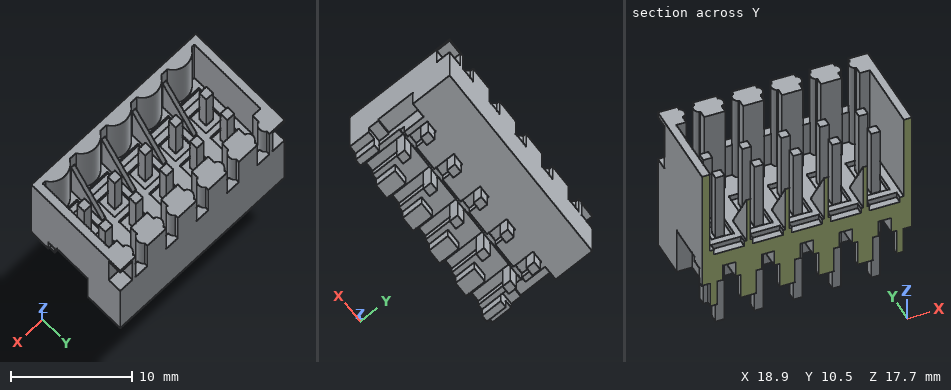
import cadquery as cq


POLES = 5
PITCH = 3.5
BODY_X = 18.9
BODY_Y = 10.5
BODY_Z = 14.2
FRONT = -BODY_Y / 2
REAR = BODY_Y / 2
POLE_XS = [(i - (POLES - 1) / 2) * PITCH for i in range(POLES)]

PIN_SIZE = 0.81
PIN_TIP_Z = 11.94
PIN_TAIL = 3.5
FRONT_ROW_Y = FRONT + 3.75
ROW_PITCH = 2.5
ROW_YS = [FRONT_ROW_Y, FRONT_ROW_Y + ROW_PITCH]

SIDE_WALL = 0.75
FRONT_WALL = 0.6
REAR_WALL = 2.1
FLOOR_Z = 6.0
POCKET_DEPTH = 0.5
PIN_POCKET = 2.0
SLIT_X = 2.7
SLIT_Y = 0.65
SLIT_SETBACK = 1.48

BULGE_HALF_WIDTH = 1.39
BULGE_HEIGHT = 0.8
RIB_THICKNESS = 0.4
RIB_LENGTH = 3.65
RIB_HEIGHT = 5.75

KEY_MOUTH_HALF = 0.68
KEY_NECK_HALF = 0.39
KEY_INNER_HALF = 0.8
KEY_ARC_START = 0.32
KEY_NECK_DEPTH = 0.85
KEY_ARC_END = 1.35
LEDGE_Z = 9.2
NOTCH_TOP_Z = 13.7

FOOT_DEPTH = 2.0
FOOT_HEIGHT = 2.45
BLOCK_SETBACK = 4.6
LIP_HEIGHT = 2.05
FOOT_GAP = 2.1
RELIEF_WIDTH = 1.12
FRONT_RELIEF_Z = 3.98
REAR_RELIEF_Z = 1.5
END_RECESS_STEP = 3.0
END_RECESS_REAR = 6.65
END_RECESS_Z = 4.45
END_RECESS_X = BODY_X / 2 - POLE_XS[-1] - FOOT_GAP / 2


def box(x_range, y_range, z_range):
    """Axis-aligned box from (low, high) pairs."""
    sizes = [high - low for low, high in (x_range, y_range, z_range)]
    corner = (x_range[0], y_range[0], z_range[0])
    return cq.Workplane("XY").box(*sizes, centered=False).translate(corner)


def around(centre, width):
    return (centre - width / 2, centre + width / 2)


def cut_both_ends(body, depth, y_range, z_range):
    """Cut the same box inward from the -X and +X ends."""
    half = BODY_X / 2
    body = body.cut(box((-half, -half + depth), y_range, z_range))
    return body.cut(box((half - depth, half), y_range, z_range))


def hollow_housing():
    body = box(around(0, BODY_X), (FRONT, REAR), (0, BODY_Z))
    cavity_x = around(0, BODY_X - 2 * SIDE_WALL)
    return body.cut(box(cavity_x, (FRONT + FRONT_WALL, REAR - REAR_WALL), (FLOOR_Z, BODY_Z)))


def front_wall_bulge(x):
    """Rounded bulge on the inside of the front wall, as tall as the cavity."""
    y = FRONT + FRONT_WALL
    return (
        cq.Workplane("XY", origin=(x, 0, FLOOR_Z))
        .moveTo(-BULGE_HALF_WIDTH, y)
        .threePointArc((0, y + BULGE_HEIGHT), (BULGE_HALF_WIDTH, y))
        .lineTo(BULGE_HALF_WIDTH, FRONT + FRONT_WALL / 2)
        .lineTo(-BULGE_HALF_WIDTH, FRONT + FRONT_WALL / 2)
        .close()
        .extrude(BODY_Z - FLOOR_Z)
    )


def sloping_rib(x):
    """Triangular rib between two poles, from the front wall down to the floor."""
    y = FRONT + FRONT_WALL
    profile = [(y, FLOOR_Z), (y + RIB_LENGTH, FLOOR_Z), (y, FLOOR_Z + RIB_HEIGHT)]
    start_x = x - RIB_THICKNESS / 2
    return cq.Workplane("YZ", origin=(start_x, 0, 0)).polyline(profile).close().extrude(RIB_THICKNESS)


def key_slot(x):
    """Slot with a waisted neck, above the floor; a ledge closes its outer part lower down."""
    inner_y = REAR - REAR_WALL
    arc_start_y = REAR - KEY_ARC_START
    neck_y = REAR - KEY_NECK_DEPTH
    arc_end_y = REAR - KEY_ARC_END
    profile = (
        cq.Workplane("XY", origin=(x, 0, FLOOR_Z))
        .moveTo(-KEY_MOUTH_HALF, REAR)
        .lineTo(-KEY_MOUTH_HALF, arc_start_y)
        .threePointArc((-KEY_NECK_HALF, neck_y), (-KEY_MOUTH_HALF, arc_end_y))
        .lineTo(-KEY_INNER_HALF, arc_end_y)
        .lineTo(-KEY_INNER_HALF, inner_y)
        .lineTo(KEY_INNER_HALF, inner_y)
        .lineTo(KEY_INNER_HALF, arc_end_y)
        .lineTo(KEY_MOUTH_HALF, arc_end_y)
        .threePointArc((KEY_NECK_HALF, neck_y), (KEY_MOUTH_HALF, arc_start_y))
        .lineTo(KEY_MOUTH_HALF, REAR)
        .close()
    )
    ledge = box(around(x, 2 * KEY_INNER_HALF), (neck_y, REAR), (FLOOR_Z, LEDGE_Z))
    return profile.extrude(BODY_Z - FLOOR_Z).cut(ledge)


def floor_pockets(x):
    """Square pocket round each pin and a slit behind the front wall."""
    depth = (FLOOR_Z - POCKET_DEPTH, FLOOR_Z)
    slit_y = FRONT + SLIT_SETBACK
    pockets = box(around(x, SLIT_X), (slit_y, slit_y + SLIT_Y), depth)
    for y in ROW_YS:
        pockets = pockets.union(box(around(x, PIN_POCKET), around(y, PIN_POCKET), depth))
    return pockets


def cut_underside(body):
    """Cross channel, gaps between the front feet, and reliefs in line with the pins."""
    pin_rear_y = FRONT_ROW_Y + PIN_SIZE / 2
    block_y = FRONT + BLOCK_SETBACK
    rear_relief_y = ROW_YS[-1] + PIN_SIZE / 2
    body = body.cut(box(around(0, BODY_X), (FRONT + FOOT_DEPTH, pin_rear_y), (0, FOOT_HEIGHT)))
    body = body.cut(box(around(0, BODY_X), (pin_rear_y, block_y), (0, LIP_HEIGHT)))
    for x in POLE_XS:
        body = body.cut(box(around(x, FOOT_GAP), (FRONT, FRONT + FOOT_DEPTH), (0, FOOT_HEIGHT)))
        body = body.cut(box(around(x, RELIEF_WIDTH), (FRONT, pin_rear_y), (0, FRONT_RELIEF_Z)))
        body = body.cut(box(around(x, RELIEF_WIDTH), (block_y, rear_relief_y), (0, REAR_RELIEF_Z)))
    return body


def cut_ends(body):
    """Stepped recesses, foot corners and rear notches at the -X and +X ends."""
    foot_rear_y = FRONT + FOOT_DEPTH
    step_y = FRONT + END_RECESS_STEP
    recess_rear_y = FRONT + END_RECESS_REAR
    body = cut_both_ends(body, SIDE_WALL, (FRONT, foot_rear_y), (0, FOOT_HEIGHT))
    body = cut_both_ends(body, END_RECESS_X, (foot_rear_y, step_y), (0, FRONT_RELIEF_Z))
    body = cut_both_ends(body, END_RECESS_X, (step_y, recess_rear_y), (0, END_RECESS_Z))
    return cut_both_ends(body, END_RECESS_X, (REAR - KEY_ARC_END, REAR), (LEDGE_Z, NOTCH_TOP_Z))


def pin(x, y):
    return box(around(x, PIN_SIZE), around(y, PIN_SIZE), (-PIN_TAIL, PIN_TIP_Z))


housing = hollow_housing()
for pole_x in POLE_XS:
    housing = housing.union(front_wall_bulge(pole_x))
    housing = housing.cut(key_slot(pole_x)).cut(floor_pockets(pole_x))
for pole_x in POLE_XS[:-1]:
    housing = housing.union(sloping_rib(pole_x + PITCH / 2))
housing = cut_ends(cut_underside(housing))

result = housing
for pole_x in POLE_XS:
    for row_y in ROW_YS:
        result = result.union(pin(pole_x, row_y))